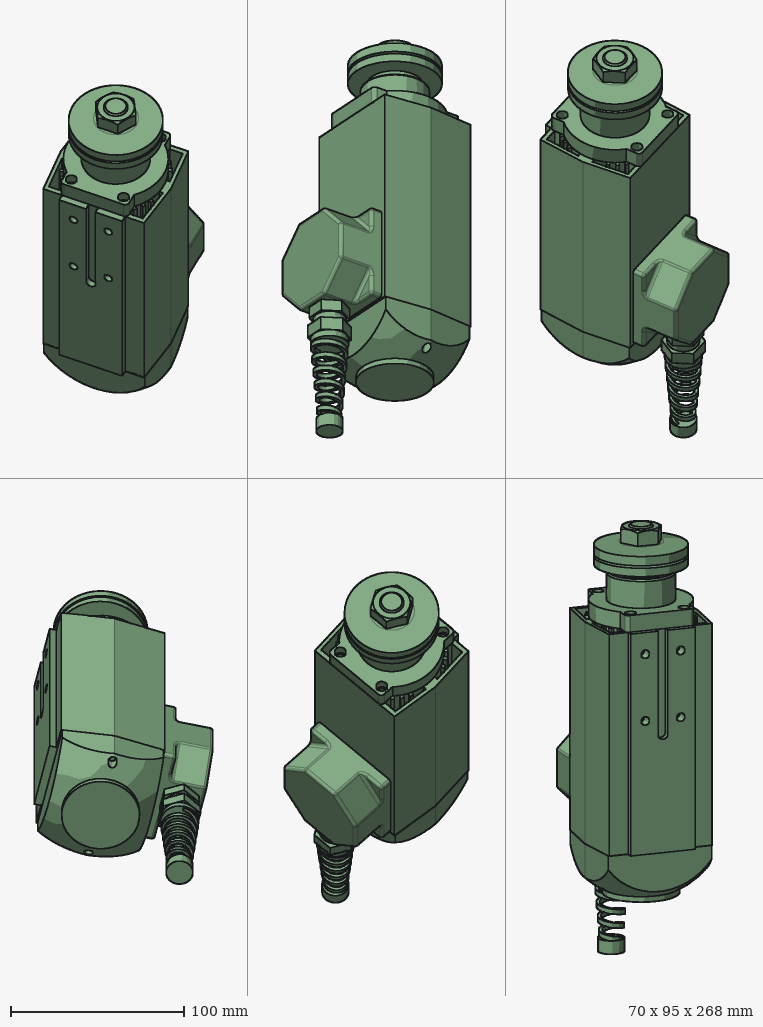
import cadquery as cq
import math


RIDGE_X = 35.0
CORNER_X = 32.0
HOUSING_HALF_Y = 30.75
SIDE_WALL = 2.5
FACE_WALL = 3.0
HOUSING_LENGTH = 133.0

CORE_RADIUS = 30.25
RIB_WIDTH = 9.6
FIN_RADIUS = 32.5
FIN_WIDTH = 2.0
FIN_ANGLES = (25.0, 35.0, 45.0)

RAIL_WIDTH = 40.0
RAIL_THICKNESS = 4.0
SLOT_WIDTH = 6.0
SLOT_LENGTH = 65.0
RAIL_HOLE_DIAMETER = 5.0
RAIL_HOLE_DEPTH = 8.0
RAIL_HOLE_SPACING_X = 22.0
RAIL_HOLE_SPACING_Z = 40.0
RAIL_HOLE_TOP_OFFSET = 13.0
DRILL_POINT_ANGLE = 118.0

FLANGE_THICKNESS = 10.0
EAR_HALF_X = 21.4
EAR_RADIUS = 2.5
SLEEVE_RADIUS = 20.0
SLEEVE_HEIGHT = 17.0
SLEEVE_CHAMFER = 1.0
SCREW_X = 16.6
SCREW_Y = 25.5
SCREW_HEAD_DIAMETER = 6.5
SCREW_HEAD_DEPTH = 6.0
SCREW_CLEARANCE_DIAMETER = 4.5
SCREW_TAP_DIAMETER = 3.3
SCREW_TAP_DEPTH = 10.0

NECK_RADIUS = 16.0
NECK_LENGTH = 4.0
DISC_RADIUS = 27.25
LOWER_DISC_THICKNESS = 5.0
BLADE_HUB_RADIUS = 11.25
BLADE_GAP = 1.5
UPPER_DISC_THICKNESS = 5.5
UPPER_DISC_CONE_HEIGHT = 2.0
UPPER_DISC_LAND_RADIUS = 13.0
NUT_ACROSS_FLATS = 22.0
NUT_HEIGHT = 9.0
NUT_CHAMFER_RADIUS = 10.7
NUT_CHAMFER_ANGLE = 30.0
STUD_RADIUS = 7.0
STUD_PROTRUSION = 1.0
STUD_CHAMFER = 1.0

CAP_HALF_Y = 30.0
DOME_RADIUS = 50.0
DOME_CENTRE_Z = 15.5
DOME_WALL = 6.0
CAP_BOSS_RADIUS = 22.5
CAP_BOSS_BOTTOM = -32.5
CAP_HOLE_X = 31.0
CAP_HOLE_DIAMETER = 5.0
CAP_HOLE_TOP = -14.5

BOX_WIDTH = 58.0
BOX_HEIGHT = 57.0
BOX_DEPTH = 29.5
BOX_BOTTOM = 1.0
BOX_PLATE_THICKNESS = 7.65
BOX_CORNER_CUT = 17.0
BOX_EDGE_RADIUS = 2.0
BOX_CUT_ROOT_RADIUS = 2.0

GLAND_Y = 46.75
GLAND_BASE_ACROSS_FLATS = 20.5
GLAND_BASE_BOTTOM = -6.0
GLAND_COLLAR_DIAMETER = 19.0
GLAND_COLLAR_BOTTOM = -11.0
GLAND_CAP_DIAMETER = 22.0
GLAND_CAP_HEX_BOTTOM = -19.0
GLAND_CAP_BOTTOM = -23.0
TIP_DIAMETER = 15.5
TIP_TOP = -72.0
TIP_BOTTOM = -80.0
SPRING_BAND_WIDTH = 2.0
SPRING_BAND_HEIGHT = 3.0
SPRING_PITCH = 8.4
SPRING_TURNS = 6
SPRING_BOTTOM = -73.4
SPRING_BOTTOM_RADIUS = 5.8
SPRING_TOP_RADIUS = 10.0

HEX_SIDES = 6

FLANGE_TOP = HOUSING_LENGTH + FLANGE_THICKNESS
SLEEVE_TOP = FLANGE_TOP + SLEEVE_HEIGHT
NECK_TOP = SLEEVE_TOP + NECK_LENGTH
LOWER_DISC_TOP = NECK_TOP + LOWER_DISC_THICKNESS
UPPER_DISC_BOTTOM = LOWER_DISC_TOP + BLADE_GAP
UPPER_DISC_RIM_TOP = UPPER_DISC_BOTTOM + UPPER_DISC_THICKNESS
UPPER_DISC_TOP = UPPER_DISC_RIM_TOP + UPPER_DISC_CONE_HEIGHT
NUT_TOP = UPPER_DISC_TOP + NUT_HEIGHT
STUD_TOP = NUT_TOP + STUD_PROTRUSION
RAIL_FACE_Y = -HOUSING_HALF_Y - RAIL_THICKNESS
SCREW_POSITIONS = [(x, y) for x in (-SCREW_X, SCREW_X) for y in (-SCREW_Y, SCREW_Y)]


def motor_section(half_y, inset_x=0.0):
    """Six-sided section of the motor, cut off at Y = +-half_y, on the XY plane."""
    side_slope = (RIDGE_X - CORNER_X) / HOUSING_HALF_Y
    ridge_x = RIDGE_X - inset_x
    corner_x = ridge_x - side_slope * half_y
    right_side = [(corner_x, -half_y), (ridge_x, 0), (corner_x, half_y)]
    left_side = [(-x, -y) for x, y in right_side]
    return cq.Workplane("XY").polyline(right_side + left_side).close()


def cylinder(radius, bottom, top):
    return cq.Workplane("XY").workplane(offset=bottom).circle(radius).extrude(top - bottom)


def hexagon(across_flats, bottom, top):
    """Hexagonal prism on the Z axis, with two of its corners on the X axis."""
    across_corners = across_flats / math.cos(math.pi / HEX_SIDES)
    base = cq.Workplane("XY").workplane(offset=bottom)
    return base.polygon(HEX_SIDES, across_corners).extrude(top - bottom)


def drilled_hole(diameter, depth, mouth, direction):
    """Blind drilled hole with a conical end, as a solid to cut away."""
    radius = diameter / 2
    tip = depth + radius / math.tan(math.radians(DRILL_POINT_ANGLE / 2))
    half_section = cq.Workplane("XZ").polyline([(0, 0), (radius, 0), (radius, depth), (0, tip)]).close()
    drill = half_section.revolve(360, (0, 0, 0), (0, 1, 0)).val()
    return drill.moved(cq.Plane(origin=mouth, xDir=(1, 0, 0), normal=direction).location)


def housing_core():
    """Central core with a block behind the flange ears, side ribs and cooling fins."""
    core = cylinder(CORE_RADIUS, 0, HOUSING_LENGTH)
    column = cq.Workplane("XY")
    core = core.union(column.rect(2 * EAR_HALF_X, 2 * HOUSING_HALF_Y).extrude(HOUSING_LENGTH))
    core = core.union(column.rect(2 * RIDGE_X, RIB_WIDTH).extrude(HOUSING_LENGTH))
    for angle in FIN_ANGLES:
        fin_pair = column.rect(2 * FIN_RADIUS, FIN_WIDTH).extrude(HOUSING_LENGTH)
        for turn in (angle, -angle):
            core = core.union(fin_pair.rotate((0, 0, 0), (0, 0, 1), turn))
    return core


def rail():
    """Flat bar along the whole housing, with a round-ended slot open at the top."""
    back = cq.Workplane("XZ", origin=(0, -HOUSING_HALF_Y, 0))
    bar = back.center(0, HOUSING_LENGTH / 2).rect(RAIL_WIDTH, HOUSING_LENGTH).extrude(RAIL_THICKNESS)
    slot_end_z = HOUSING_LENGTH - SLOT_LENGTH + SLOT_WIDTH / 2
    slot = (
        back.moveTo(-SLOT_WIDTH / 2, HOUSING_LENGTH)
        .lineTo(-SLOT_WIDTH / 2, slot_end_z)
        .threePointArc((0, HOUSING_LENGTH - SLOT_LENGTH), (SLOT_WIDTH / 2, slot_end_z))
        .lineTo(SLOT_WIDTH / 2, HOUSING_LENGTH)
        .close()
        .extrude(RAIL_THICKNESS)
    )
    return bar.cut(slot)


def make_housing():
    """Hollow profile around the core, with the rail and its drilled holes."""
    outer = motor_section(HOUSING_HALF_Y).extrude(HOUSING_LENGTH)
    cavity = motor_section(HOUSING_HALF_Y - FACE_WALL, SIDE_WALL).extrude(HOUSING_LENGTH)
    housing = outer.cut(cavity.cut(housing_core())).union(rail())
    upper_hole_z = HOUSING_LENGTH - RAIL_HOLE_TOP_OFFSET
    for x in (-RAIL_HOLE_SPACING_X / 2, RAIL_HOLE_SPACING_X / 2):
        for z in (upper_hole_z, upper_hole_z - RAIL_HOLE_SPACING_Z):
            mouth = (x, RAIL_FACE_Y, z)
            housing = housing.cut(drilled_hole(RAIL_HOLE_DIAMETER, RAIL_HOLE_DEPTH, mouth, (0, 1, 0)))
    for x, y in SCREW_POSITIONS:
        mouth = (x, y, HOUSING_LENGTH)
        housing = housing.cut(drilled_hole(SCREW_TAP_DIAMETER, SCREW_TAP_DEPTH, mouth, (0, 0, -1)))
    return housing


def make_shield():
    """Round flange with four-screw ears and a sleeve bored for the spindle."""
    base = cq.Workplane("XY").workplane(offset=HOUSING_LENGTH)
    ears = base.rect(2 * EAR_HALF_X, 2 * HOUSING_HALF_Y).extrude(FLANGE_THICKNESS)
    ears = ears.edges("|Z").fillet(EAR_RADIUS)
    sleeve = cylinder(SLEEVE_RADIUS, FLANGE_TOP, SLEEVE_TOP).faces(">Z").chamfer(SLEEVE_CHAMFER)
    shield = ears.union(cylinder(CORE_RADIUS, HOUSING_LENGTH, FLANGE_TOP)).union(sleeve)
    shield = shield.cut(cylinder(NECK_RADIUS, HOUSING_LENGTH, SLEEVE_TOP))
    holes = cq.Workplane("XY").workplane(offset=FLANGE_TOP).pushPoints(SCREW_POSITIONS)
    shield = shield.cut(holes.circle(SCREW_HEAD_DIAMETER / 2).extrude(-SCREW_HEAD_DEPTH))
    return shield.cut(holes.circle(SCREW_CLEARANCE_DIAMETER / 2).extrude(-FLANGE_THICKNESS))


def make_spindle():
    """Spindle with its lower disc, blade hub and threaded stud."""
    spindle = cylinder(NECK_RADIUS, HOUSING_LENGTH, NECK_TOP)
    spindle = spindle.union(cylinder(DISC_RADIUS, NECK_TOP, LOWER_DISC_TOP))
    spindle = spindle.union(cylinder(BLADE_HUB_RADIUS, LOWER_DISC_TOP, UPPER_DISC_BOTTOM))
    stud = cylinder(STUD_RADIUS, UPPER_DISC_BOTTOM, STUD_TOP).faces(">Z").chamfer(STUD_CHAMFER)
    return spindle.union(stud)


def make_clamping_disc():
    """Upper disc with a conical top face, bored for the stud."""
    half_section = [
        (STUD_RADIUS, UPPER_DISC_BOTTOM),
        (DISC_RADIUS, UPPER_DISC_BOTTOM),
        (DISC_RADIUS, UPPER_DISC_RIM_TOP),
        (UPPER_DISC_LAND_RADIUS, UPPER_DISC_TOP),
        (STUD_RADIUS, UPPER_DISC_TOP),
    ]
    return cq.Workplane("XZ").polyline(half_section).close().revolve(360, (0, 0, 0), (0, 1, 0))


def make_nut():
    """Hexagon nut whose upper corners are turned off by a cone."""
    nut = hexagon(NUT_ACROSS_FLATS, UPPER_DISC_TOP, NUT_TOP)
    cone_base_radius = NUT_CHAMFER_RADIUS + NUT_HEIGHT / math.tan(math.radians(NUT_CHAMFER_ANGLE))
    cone_base = cq.Vector(0, 0, UPPER_DISC_TOP)
    cone = cq.Solid.makeCone(cone_base_radius, NUT_CHAMFER_RADIUS, NUT_HEIGHT, cone_base)
    return nut.intersect(cq.Workplane(cone)).cut(cylinder(STUD_RADIUS, UPPER_DISC_TOP, NUT_TOP))


def make_cap():
    """Domed shell with a round boss and a vertical hole near each ridge."""
    dome_centre = cq.Workplane("XY", origin=(0, 0, DOME_CENTRE_Z))
    outer = motor_section(CAP_HALF_Y).extrude(CAP_BOSS_BOTTOM).intersect(dome_centre.sphere(DOME_RADIUS))
    outer = outer.union(cylinder(CAP_BOSS_RADIUS, CAP_BOSS_BOTTOM, 0))
    inner = motor_section(HOUSING_HALF_Y - FACE_WALL, SIDE_WALL).extrude(CAP_BOSS_BOTTOM)
    cap = outer.cut(inner.intersect(dome_centre.sphere(DOME_RADIUS - DOME_WALL)))
    for x in (-CAP_HOLE_X, CAP_HOLE_X):
        hole = cylinder(CAP_HOLE_DIAMETER / 2, CAP_BOSS_BOTTOM, CAP_HOLE_TOP)
        cap = cap.cut(hole.translate((x, 0, 0)))
    return cap


def make_box():
    """Box whose corners are cut off at 45 degrees above a rectangular base plate."""
    half_width = BOX_WIDTH / 2
    half_height = BOX_HEIGHT / 2
    cut_x = half_width - BOX_CORNER_CUT
    cut_z = half_height - BOX_CORNER_CUT
    centre = (0, HOUSING_HALF_Y, BOX_BOTTOM + half_height)
    back = cq.Workplane("XZ", origin=centre)
    plate = back.rect(BOX_WIDTH, BOX_HEIGHT).extrude(-BOX_PLATE_THICKNESS)
    upper_half = [(half_width, cut_z), (cut_x, half_height), (-cut_x, half_height), (-half_width, cut_z)]
    lower_half = [(-x, -z) for x, z in upper_half]
    box = plate.union(back.polyline(upper_half + lower_half).close().extrude(-BOX_DEPTH))

    plate_top_y = HOUSING_HALF_Y + BOX_PLATE_THICKNESS
    cut_centre_x = half_width - BOX_CORNER_CUT / 2
    cut_centre_z = half_height - BOX_CORNER_CUT / 2
    for x in (-cut_centre_x, cut_centre_x):
        for z in (-cut_centre_z, cut_centre_z):
            cut_root = cq.selectors.NearestToPointSelector((x, plate_top_y, centre[2] + z))
            box = box.edges(cut_root).fillet(BOX_CUT_ROOT_RADIUS)
    box = box.edges("|Y").fillet(BOX_EDGE_RADIUS)
    return box.faces(">Y").edges().fillet(BOX_EDGE_RADIUS)


def make_spring():
    """Tapering left-hand spiral band of rectangular section."""
    height = SPRING_TURNS * SPRING_PITCH
    taper = math.degrees(math.atan((SPRING_TOP_RADIUS - SPRING_BOTTOM_RADIUS) / height))
    path = cq.Wire.makeHelix(
        SPRING_PITCH, height, SPRING_BOTTOM_RADIUS, cq.Vector(0, 0, 0), cq.Vector(0, 0, 1), taper, True
    )
    band = cq.Workplane("XZ").center(SPRING_BOTTOM_RADIUS, 0).rect(SPRING_BAND_WIDTH, SPRING_BAND_HEIGHT)
    return band.sweep(cq.Workplane(path), isFrenet=True).translate((0, 0, SPRING_BOTTOM))


def make_gland():
    """Cable gland: two hexagons and two collars above the spring and its end tip."""
    gland = hexagon(GLAND_BASE_ACROSS_FLATS, GLAND_BASE_BOTTOM, BOX_BOTTOM)
    gland = gland.union(cylinder(GLAND_COLLAR_DIAMETER / 2, GLAND_COLLAR_BOTTOM, GLAND_BASE_BOTTOM))
    gland = gland.union(hexagon(GLAND_CAP_DIAMETER, GLAND_CAP_HEX_BOTTOM, GLAND_COLLAR_BOTTOM))
    gland = gland.union(cylinder(GLAND_CAP_DIAMETER / 2, GLAND_CAP_BOTTOM, GLAND_CAP_HEX_BOTTOM))
    gland = gland.union(make_spring())
    gland = gland.union(cylinder(TIP_DIAMETER / 2, TIP_BOTTOM, TIP_TOP))
    return gland.translate((0, GLAND_Y, 0))


housing = make_housing()
shield = make_shield()
spindle = make_spindle()
clamping_disc = make_clamping_disc()
nut = make_nut()
cap = make_cap()
terminal_box = make_box().union(make_gland())

bodies = [housing, shield, spindle, clamping_disc, nut, cap, terminal_box]
result = cq.Compound.makeCompound([body.solids().val() for body in bodies])